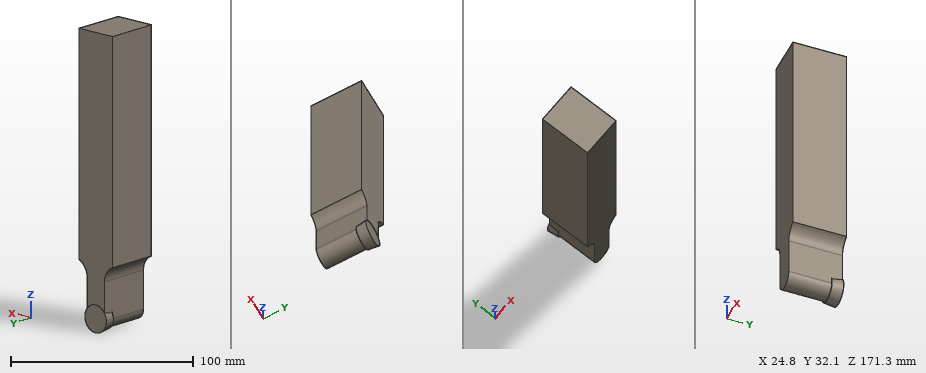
import cadquery as cq
import math

height = 171.3
back_width = 24.8
front_width = 24.7
depth = 31.9

neck_width = 12.9
shoulder_radius = 10.0
shoulder_start = 30.3

insert_back_radius = 7.97
insert_front_radius = 7.2
insert_length = 6.7
insert_projection = 0.2

neck_radius = neck_width / 2
nose_height = insert_back_radius
holder_front = -depth / 2
holder_back = depth / 2


def shoulder_point(angle):
    """Point on the +X shoulder arc, turned by angle from its tangent with the neck."""
    x = neck_radius + shoulder_radius * (1 - math.cos(angle))
    z = shoulder_start + shoulder_radius * math.sin(angle)
    return x, z


def make_insert():
    """Truncated cone, wide end facing +Y."""
    back = holder_back + insert_projection
    direction = cq.Vector(0, -1, 0)
    cone = cq.Solid.makeCone(
        insert_back_radius, insert_front_radius, insert_length,
        cq.Vector(0, back, nose_height), direction,
    )
    return cq.Workplane(obj=cone)


def make_side_profile():
    """Shank, shoulders and round-ended neck, at the shank's full width."""
    half_width = back_width / 2
    end_angle = math.acos(1 - (half_width - neck_radius) / shoulder_radius)
    end_x, end_z = shoulder_point(end_angle)
    mid_x, mid_z = shoulder_point(end_angle / 2)
    return (
        cq.Workplane("XZ", origin=(0, holder_back, 0))
        .moveTo(-half_width, height)
        .lineTo(-end_x, end_z)
        .threePointArc((-mid_x, mid_z), (-neck_radius, shoulder_start))
        .lineTo(-neck_radius, nose_height)
        .threePointArc((0, nose_height - neck_radius), (neck_radius, nose_height))
        .lineTo(neck_radius, shoulder_start)
        .threePointArc((mid_x, mid_z), (end_x, end_z))
        .lineTo(half_width, height)
        .close()
        .extrude(depth)
    )


def make_taper():
    """Full-height block that narrows from the back face to the front face."""
    return (
        cq.Workplane("XY")
        .polyline([
            (-back_width / 2, holder_back),
            (back_width / 2, holder_back),
            (front_width / 2, holder_front),
            (-front_width / 2, holder_front),
        ])
        .close()
        .extrude(height)
    )


def make_holder(seated_insert):
    """Tapered holder with a recess that fits the insert."""
    return make_side_profile().intersect(make_taper()).cut(seated_insert)


insert = make_insert()
holder = make_holder(insert)

result = cq.Compound.makeCompound([holder.val(), insert.val()])